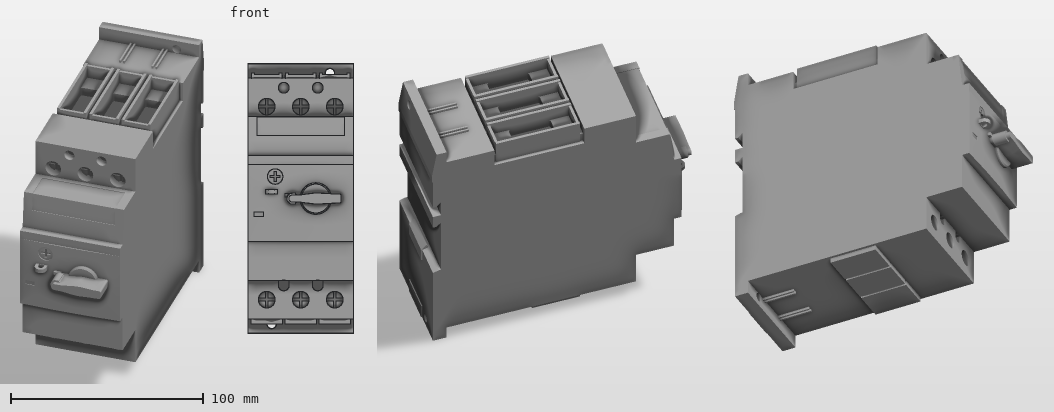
import cadquery as cq

WIDTH = 54.8
HEIGHT = 140.0
TOTAL_DEPTH = 149.4
HALF_W = WIDTH / 2
TOP = HEIGHT / 2

BACK_FACE = 0.6
FLANGE_DEPTH = 8.1
BODY_TOP = 62.5
BODY_FRONT = 111.8
HEAD_TOP = 42.5
HEAD_TOP_DEPTH = 130.4
HEAD_FRONT = 132.6
FASCIA_TOP = 22.4
FASCIA_BOTTOM = -22.2
FASCIA_FRONT = 136.7
RAIL_DEPTH = 5.0
REAR_BEVEL = 2.6
REAR_BULGE_TOP = 54.1
REAR_BULGE_BOTTOM = 49.8
UPPER_NOTCH = (30.7, 33.1, 23.5)
RAIL_NOTCH = (15.5, 17.8, -17.8)

LATCH_WIDTH = 20.0
LATCH_TOP = -18.8
LATCH_BOTTOM = -26.4
LATCH_TIP_DEPTH = 2.9
LATCH_TIP_Z = -15.7
LATCH_HEEL_DEPTH = 3.8
LATCH_HEEL_Z = -17.2
FOOT_TOP = -61.0
FOOT_BOTTOM = -69.5

DOME_HEIGHT = 1.0
DOME_REACH = 34.0
DOME_TOP = 17.6

POLE_PITCH = 17.65
POLES = [-POLE_PITCH, 0.0, POLE_PITCH]
POLE_GAPS = [-POLE_PITCH / 2, POLE_PITCH / 2]

NOTCH_BACK = 34.3
NOTCH_FRONT = 83.5
NOTCH_FLOOR = 51.5
COVER_WIDTH = 15.9
COVER_BACK = 35.8
COVER_FRONT = 81.8
COVER_TOP = 65.2
COVER_WALL = 1.5
COVER_END_DROP = 0.8
WEB_TOP = 56.7
WEB_INSET = 0.4
SHELF_LENGTH = 10.0
SHELF_TOP = 57.2
WELL_FLOOR = 52.5
WELL_RADIUS = 1.0

BOTTOM_COVER_WIDTH = 16.6
BOTTOM_COVER_BACK = 55.4
BOTTOM_COVER_FRONT = 81.5
BOTTOM_COVER_HEIGHT = 2.7

RIB_FRONT = 26.0
RIB_HEIGHT = 1.4
RIB_WIDTH = 0.9
RIB_SPACING = 2.1

MOUNT_RADIUS = 2.4
MOUNT_X = 15.1
MOUNT_Z = 65.1

SCREW_RADIUS = 4.3
SCREW_DEPTH = 5.0
CROSS_WIDTH = 1.5
CROSS_DEPTH = 1.0
UPPER_SCREW_Z = 47.7
LOWER_SCREW_Z = -52.5
ACCESS_RADIUS = 2.8
ACCESS_DEPTH = 5.0
UPPER_ACCESS_Z = 57.5
LOWER_ACCESS_Z = -45.1

LABEL_HALF_W = 22.65
LABEL_BACK = 114.5
LABEL_BOTTOM = 32.7
LABEL_RECESS = 0.3

DIAL_X = -13.3
DIAL_Z = 11.4
DIAL_RADIUS = 4.0
DIAL_RECESS = 0.9
DIAL_CROSS_LENGTH = 5.2
DIAL_CROSS_WIDTH = 1.2
WINDOW_CENTER = (-21.8, -8.2)
WINDOW_SIZE = (5.1, 2.4)
WINDOW_FLOOR = 136.9
LUG_X = -15.2
LUG_Z = (2.4, 4.6)
LUG_CENTER_DEPTH = 139.5
LUG_RADIUS = 3.1
LUG_HOLE_RADIUS = 1.5
LUG_EMBED = 1.0

KNOB_X = 7.8
DISC_RADIUS = 8.2
DISC_FRONT = 139.6
DISC_CHAMFER = 0.7
HANDLE_LEFT = -6.2
HANDLE_RIGHT = 21.0
HANDLE_NECK = 1.8
HANDLE_NECK_END = -1.5
HANDLE_WAIST = 2.9
HANDLE_TAIL = 2.4
HANDLE_TAIL_START = 17.0
HANDLE_CORNER = 1.0
BARREL_X = -4.3
BARREL_RADIUS = 2.9
BARREL_END = -2.6
BARREL_DEPTH = (139.8, 147.2)
POINTER_X = (-8.2, BARREL_X)
POINTER_Z = (0.8, 2.5)
POINTER_FRONT = 139.3


def block(x_range, depth_range, z_range):
    """Box given by its limits in X, depth and Z."""
    size = [b - a for a, b in (x_range, depth_range, z_range)]
    return cq.Workplane("XY").box(*size, centered=False).translate(
        (x_range[0], -depth_range[1], z_range[0])
    )


def centered_range(center, width):
    return (center - width / 2, center + width / 2)


def front_plane(depth):
    """Sketch plane with X right and Z up, extruding forward."""
    return cq.Workplane("XZ", origin=(0, -depth, 0))


def side_extrusion(points, width):
    """Extrude a closed (depth, Z) outline symmetrically across the width."""
    outline = [(-depth, z) for depth, z in points]
    return cq.Workplane("YZ").polyline(outline).close().extrude(width / 2, both=True)


def forward_cylinder(x, z, radius, back, front):
    return front_plane(back).center(x, z).circle(radius).extrude(front - back)


def cross(x, z, length, width, back, front):
    bar = front_plane(back).center(x, z).rect(length, width).extrude(front - back)
    upright = front_plane(back).center(x, z).rect(width, length).extrude(front - back)
    return bar.union(upright)


def make_housing():
    upper_lip, upper_undercut, upper_bottom = UPPER_NOTCH
    rail_lip, rail_undercut, rail_bottom = RAIL_NOTCH
    outline = [
        (REAR_BEVEL, TOP),
        (FLANGE_DEPTH, TOP),
        (FLANGE_DEPTH, BODY_TOP),
        (BODY_FRONT, BODY_TOP),
        (BODY_FRONT, HEAD_TOP),
        (HEAD_TOP_DEPTH, HEAD_TOP),
        (HEAD_FRONT, FASCIA_TOP),
        (FASCIA_FRONT, FASCIA_TOP),
        (FASCIA_FRONT, FASCIA_BOTTOM),
        (HEAD_FRONT, FASCIA_BOTTOM),
        (HEAD_FRONT, -HEAD_TOP),
        (BODY_FRONT, -HEAD_TOP),
        (BODY_FRONT, -BODY_TOP),
        (FLANGE_DEPTH, -BODY_TOP),
        (FLANGE_DEPTH, -TOP),
        (BACK_FACE, -TOP),
        (BACK_FACE, LATCH_TOP),
        (LATCH_HEEL_DEPTH, rail_bottom),
        (RAIL_DEPTH, rail_bottom),
        (RAIL_DEPTH, rail_undercut),
        (RAIL_DEPTH / 2, rail_lip),
        (BACK_FACE, rail_lip),
        (BACK_FACE, upper_bottom),
        (RAIL_DEPTH, upper_bottom),
        (RAIL_DEPTH, upper_undercut),
        (RAIL_DEPTH / 2, upper_lip),
        (BACK_FACE, upper_lip),
        (BACK_FACE, REAR_BULGE_BOTTOM),
        (0, REAR_BULGE_BOTTOM),
        (0, REAR_BULGE_TOP),
    ]
    return side_extrusion(outline, WIDTH)


def make_rear_fittings():
    latch = side_extrusion(
        [
            (0, LATCH_BOTTOM),
            (0, LATCH_TOP),
            (LATCH_TIP_DEPTH, LATCH_TIP_Z),
            (LATCH_HEEL_DEPTH, LATCH_HEEL_Z),
            (LATCH_HEEL_DEPTH, LATCH_BOTTOM),
        ],
        LATCH_WIDTH,
    )
    foot = block(
        centered_range(0, LATCH_WIDTH), (0, FLANGE_DEPTH / 2), (FOOT_BOTTOM, FOOT_TOP)
    )
    return latch.union(foot)


def make_fascia_dome():
    """Shallow spherical skin over the fascia, below its flat top band."""
    sphere_radius = (DOME_REACH**2 + DOME_HEIGHT**2) / (2 * DOME_HEIGHT)
    center_z = (DOME_TOP + FASCIA_BOTTOM) / 2
    center_depth = FASCIA_FRONT + DOME_HEIGHT - sphere_radius
    sphere = cq.Workplane("XY").sphere(sphere_radius).translate((0, -center_depth, center_z))
    slab = block(
        (-HALF_W, HALF_W),
        (FASCIA_FRONT - DOME_HEIGHT, FASCIA_FRONT + DOME_HEIGHT),
        (FASCIA_BOTTOM, DOME_TOP),
    )
    return slab.intersect(sphere)


def cover_opening(x):
    """Stepped cavity of one terminal cover: shelves at both ends of a deeper well."""
    inner_x = centered_range(x, COVER_WIDTH - 2 * COVER_WALL)
    cavity_back = COVER_BACK + COVER_WALL
    cavity_front = COVER_FRONT - COVER_WALL
    upper = block(inner_x, (cavity_back, cavity_front), (SHELF_TOP, COVER_TOP))
    well = block(
        inner_x,
        (cavity_back + SHELF_LENGTH, cavity_front - SHELF_LENGTH),
        (WELL_FLOOR, COVER_TOP),
    )
    well = well.edges("|Z").fillet(WELL_RADIUS)
    lowered_ends = block(
        inner_x, (COVER_BACK, COVER_FRONT), (COVER_TOP - COVER_END_DROP, COVER_TOP)
    )
    return upper.union(well).union(lowered_ends)


def add_terminal_covers(body):
    body = body.cut(
        block((-HALF_W, HALF_W), (NOTCH_BACK, NOTCH_FRONT), (NOTCH_FLOOR, BODY_TOP))
    )
    web_width = 2 * POLE_PITCH + COVER_WIDTH - 2 * WEB_INSET
    web = block(
        centered_range(0, web_width), (NOTCH_BACK, NOTCH_FRONT), (NOTCH_FLOOR, WEB_TOP)
    )
    body = body.union(web)
    for x in POLES:
        cover = block(
            centered_range(x, COVER_WIDTH), (COVER_BACK, COVER_FRONT), (NOTCH_FLOOR, COVER_TOP)
        )
        body = body.union(cover).cut(cover_opening(x))
        body = body.union(
            block(
                centered_range(x, BOTTOM_COVER_WIDTH),
                (BOTTOM_COVER_BACK, BOTTOM_COVER_FRONT),
                (-BODY_TOP - BOTTOM_COVER_HEIGHT, -BODY_TOP),
            )
        )
    return body


def add_separating_ribs(body):
    for gap_x in POLE_GAPS:
        for side in (-1, 1):
            rib_x = centered_range(gap_x + side * RIB_SPACING / 2, RIB_WIDTH)
            for base in (BODY_TOP, -BODY_TOP - RIB_HEIGHT):
                body = body.union(
                    block(rib_x, (FLANGE_DEPTH, RIB_FRONT), (base, base + RIB_HEIGHT))
                )
    return body


def cut_mounting_holes(body):
    for x, z in ((MOUNT_X, MOUNT_Z), (-MOUNT_X, -MOUNT_Z)):
        body = body.cut(forward_cylinder(x, z, MOUNT_RADIUS, 0, FLANGE_DEPTH))
    return body


def cut_terminal_screws(body):
    floor = BODY_FRONT - SCREW_DEPTH
    for x in POLES:
        for z in (UPPER_SCREW_Z, LOWER_SCREW_Z):
            well = forward_cylinder(x, z, SCREW_RADIUS, floor, BODY_FRONT)
            slot = cross(x, z, 2 * SCREW_RADIUS, CROSS_WIDTH, floor - CROSS_DEPTH, floor)
            round_limit = forward_cylinder(x, z, SCREW_RADIUS, floor - CROSS_DEPTH, floor)
            body = body.cut(well).cut(slot.intersect(round_limit))
    return body


def cut_access_holes(body):
    back = BODY_FRONT - ACCESS_DEPTH
    for x in POLE_GAPS:
        for z in (UPPER_ACCESS_Z, LOWER_ACCESS_Z):
            body = body.cut(forward_cylinder(x, z, ACCESS_RADIUS, back, BODY_FRONT))
        run_out = block(
            centered_range(x, 2 * ACCESS_RADIUS), (back, BODY_FRONT), (LOWER_ACCESS_Z, -HEAD_TOP)
        )
        body = body.cut(run_out)
    return body


def cut_label_recess(body):
    slope = (HEAD_FRONT - HEAD_TOP_DEPTH) / (HEAD_TOP - FASCIA_TOP)
    bottom_depth = HEAD_TOP_DEPTH + slope * (HEAD_TOP - LABEL_BOTTOM)
    floor_z = HEAD_TOP - LABEL_RECESS
    recess = side_extrusion(
        [
            (LABEL_BACK, HEAD_TOP),
            (LABEL_BACK, floor_z),
            (HEAD_TOP_DEPTH - LABEL_RECESS, floor_z),
            (bottom_depth - LABEL_RECESS, LABEL_BOTTOM),
            (HEAD_FRONT, LABEL_BOTTOM),
            (HEAD_FRONT, HEAD_TOP),
        ],
        2 * LABEL_HALF_W,
    )
    return body.cut(recess)


def cut_fascia_recesses(body):
    clear_front = FASCIA_FRONT + DOME_HEIGHT
    dial_floor = clear_front - DIAL_RECESS
    body = body.cut(forward_cylinder(DIAL_X, DIAL_Z, DIAL_RADIUS, dial_floor, clear_front))
    body = body.cut(
        cross(
            DIAL_X, DIAL_Z, DIAL_CROSS_LENGTH, DIAL_CROSS_WIDTH, dial_floor - CROSS_DEPTH, dial_floor
        )
    )
    window = (
        front_plane(WINDOW_FLOOR)
        .center(*WINDOW_CENTER)
        .rect(*WINDOW_SIZE)
        .extrude(clear_front - WINDOW_FLOOR)
    )
    return body.cut(window)


def make_sealing_lug():
    """Round-nosed eyelet standing forward of the fascia."""
    thickness = LUG_Z[1] - LUG_Z[0]
    plane = cq.Workplane("XY", origin=(LUG_X, -LUG_CENTER_DEPTH, LUG_Z[0]))
    eye = plane.circle(LUG_RADIUS).extrude(thickness)
    root = block(
        centered_range(LUG_X, 2 * LUG_RADIUS), (FASCIA_FRONT - LUG_EMBED, LUG_CENTER_DEPTH), LUG_Z
    )
    root_opening = block(
        centered_range(LUG_X, 2 * LUG_HOLE_RADIUS),
        (FASCIA_FRONT + DOME_HEIGHT, LUG_CENTER_DEPTH),
        LUG_Z,
    )
    hole = plane.circle(LUG_HOLE_RADIUS).extrude(thickness)
    return eye.union(root).cut(hole).cut(root_opening)


def make_knob():
    disc = forward_cylinder(KNOB_X, 0, DISC_RADIUS, FASCIA_FRONT, DISC_FRONT)
    disc = disc.faces("<Y").chamfer(DISC_CHAMFER)
    neck_start = HANDLE_LEFT + HANDLE_NECK
    flank = [
        (neck_start, HANDLE_NECK),
        (HANDLE_NECK_END, HANDLE_NECK),
        (KNOB_X, HANDLE_WAIST),
        (HANDLE_TAIL_START, HANDLE_TAIL),
        (HANDLE_RIGHT, HANDLE_TAIL),
    ]
    opposite_flank = [(x, -z) for x, z in reversed(flank)]
    handle = (
        front_plane(FASCIA_FRONT)
        .moveTo(*flank[0])
        .spline(flank[1:], tangents=[(1, 0), (1, 0)], includeCurrent=True)
        .lineTo(*opposite_flank[0])
        .spline(opposite_flank[1:], tangents=[(-1, 0), (-1, 0)], includeCurrent=True)
        .threePointArc((HANDLE_LEFT, 0), (neck_start, HANDLE_NECK))
        .close()
        .extrude(TOTAL_DEPTH - FASCIA_FRONT)
    )
    handle = handle.edges("|Y and >X").fillet(HANDLE_CORNER)
    barrel = forward_cylinder(BARREL_X, 0, BARREL_RADIUS, *BARREL_DEPTH).union(
        block((BARREL_X, BARREL_END), BARREL_DEPTH, (-BARREL_RADIUS, BARREL_RADIUS))
    )
    pointer = block(POINTER_X, (FASCIA_FRONT, POINTER_FRONT), POINTER_Z)
    return disc.union(handle).union(barrel).union(pointer)


body = make_housing().union(make_rear_fittings()).union(make_fascia_dome())
body = add_terminal_covers(body)
body = add_separating_ribs(body)
body = cut_mounting_holes(body)
body = cut_terminal_screws(body)
body = cut_access_holes(body)
body = cut_label_recess(body)
body = cut_fascia_recesses(body)
result = body.union(make_sealing_lug()).union(make_knob())